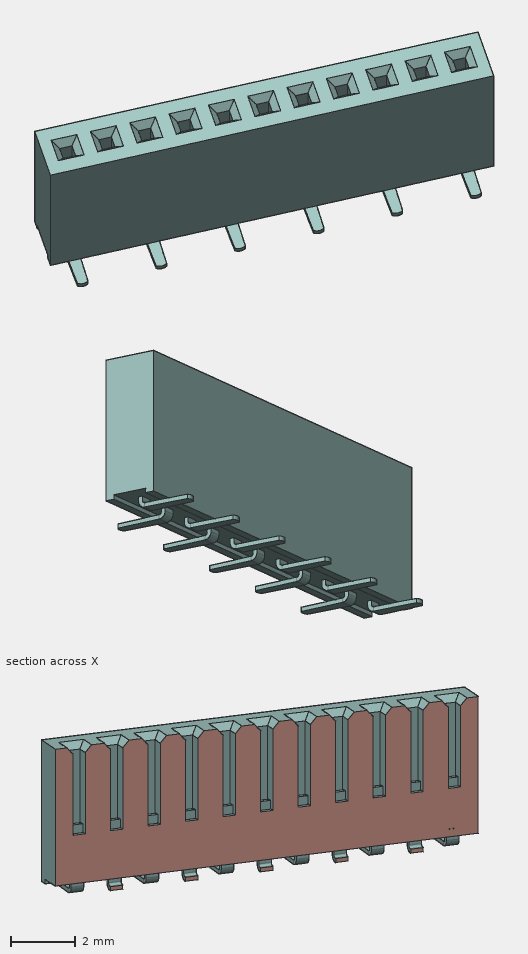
import cadquery as cq

PIN_COUNT = 11
PIN_ROW_LENGTH = 12.7
BODY_LENGTH = 14.32
BODY_WIDTH = 1.79
TOTAL_HEIGHT = 4.83
BODY_BOTTOM = 0.23

CHANNEL_WIDTH = 1.19
CHANNEL_DEPTH = 0.15

FUNNEL_MOUTH = 0.83
FUNNEL_DEPTH = 0.23
HOLE_SIZE = 0.4
HOLE_DEPTH = 2.86

STRIP_THICKNESS = 0.15
BLADE_WIDTH = 0.36
BLADE_RISE = 0.29
BEND_INNER_RADIUS = 0.09
LEAD_SPAN = 3.58
LEAD_ROOT_WIDTH = 0.43
LEAD_TIP_WIDTH = 0.35
TIP_BULGE = 0.06

BODY_HEIGHT = TOTAL_HEIGHT - BODY_BOTTOM
CHANNEL_ROOF = BODY_BOTTOM + CHANNEL_DEPTH
TAIL_TOP = CHANNEL_ROOF + STRIP_THICKNESS
HOLE_FLOOR = TOTAL_HEIGHT - HOLE_DEPTH
BLADE_TOP = HOLE_FLOOR + BLADE_RISE
BEND_OUTER_RADIUS = BEND_INNER_RADIUS + STRIP_THICKNESS
LEAD_REACH = LEAD_SPAN / 2
PITCH = PIN_ROW_LENGTH / (PIN_COUNT - 1)
PIN_POSITIONS = [i * PITCH - PIN_ROW_LENGTH / 2 for i in range(PIN_COUNT)]


def make_body():
    """Housing block with the channel along its underside."""
    block = (
        cq.Workplane("XY", origin=(0, 0, BODY_BOTTOM))
        .box(BODY_WIDTH, BODY_LENGTH, BODY_HEIGHT, centered=(True, True, False))
    )
    channel = (
        cq.Workplane("XY", origin=(0, 0, BODY_BOTTOM))
        .box(CHANNEL_WIDTH, BODY_LENGTH, CHANNEL_DEPTH, centered=(True, True, False))
    )
    return block.cut(channel)


def make_socket(y):
    """Funnel and square hole to be cut from the top face."""
    funnel = (
        cq.Workplane("XY", origin=(0, y, TOTAL_HEIGHT))
        .rect(FUNNEL_MOUTH, FUNNEL_MOUTH)
        .workplane(offset=-FUNNEL_DEPTH)
        .rect(HOLE_SIZE, HOLE_SIZE)
        .loft(ruled=True)
    )
    hole = (
        cq.Workplane("XY", origin=(0, y, HOLE_FLOOR))
        .rect(HOLE_SIZE, HOLE_SIZE)
        .extrude(HOLE_DEPTH - FUNNEL_DEPTH)
    )
    return funnel.union(hole)


def make_lead(y, side):
    """Bent tail and flat lead; side is +1 for a lead toward +X, -1 toward -X."""
    half_strip = STRIP_THICKNESS / 2
    bend_end = BEND_OUTER_RADIUS - half_strip
    strip = (
        cq.Workplane("XZ", origin=(0, y + LEAD_ROOT_WIDTH / 2, 0))
        .moveTo(-side * half_strip, TAIL_TOP)
        .lineTo(-side * half_strip, BEND_OUTER_RADIUS)
        .radiusArc((side * bend_end, 0), -side * BEND_OUTER_RADIUS)
        .lineTo(side * LEAD_REACH, 0)
        .lineTo(side * LEAD_REACH, STRIP_THICKNESS)
        .lineTo(side * bend_end, STRIP_THICKNESS)
        .radiusArc((side * half_strip, BEND_OUTER_RADIUS), side * BEND_INNER_RADIUS)
        .lineTo(side * half_strip, TAIL_TOP)
        .close()
        .extrude(LEAD_ROOT_WIDTH)
    )
    half_root = LEAD_ROOT_WIDTH / 2
    half_tip = LEAD_TIP_WIDTH / 2
    arc_start = LEAD_REACH - TIP_BULGE
    plan = (
        cq.Workplane("XY", origin=(0, y, 0))
        .moveTo(-side * half_strip, half_root)
        .lineTo(side * bend_end, half_root)
        .lineTo(side * arc_start, half_tip)
        .threePointArc((side * LEAD_REACH, 0), (side * arc_start, -half_tip))
        .lineTo(side * bend_end, -half_root)
        .lineTo(-side * half_strip, -half_root)
        .close()
        .extrude(TAIL_TOP)
    )
    return strip.intersect(plan)


def make_blade(y):
    """Upright contact blade, embedded in the body and standing in the hole."""
    return (
        cq.Workplane("XY", origin=(0, y, CHANNEL_ROOF))
        .box(STRIP_THICKNESS, BLADE_WIDTH, BLADE_TOP - CHANNEL_ROOF, centered=(True, True, False))
    )


result = make_body()
for index, pin_y in enumerate(PIN_POSITIONS):
    lead_side = 1 if index % 2 == 0 else -1
    result = result.cut(make_socket(pin_y))
    result = result.union(make_blade(pin_y))
    result = result.union(make_lead(pin_y, lead_side))